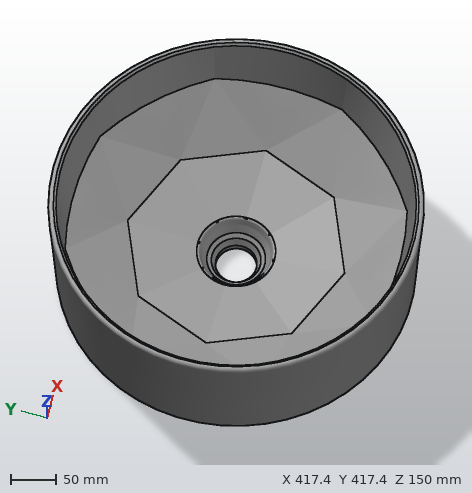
import cadquery as cq
import math

height = 150.0
rim_radius = 208.7
base_radius = 200.0
rim_round = 3.8
base_round = 3.0
wall_taper = (rim_radius - base_radius) / (height - rim_round)

facet_count = 8
facet_angle = 360 / facet_count
mouth_radius = 200.5
lip_bevel = 2.5
corner_radius = 191.0
lobe_radius = 185.8
corner_height = 88.5
star_radius = 125.0
star_height = 49.0
drain_radius = 44.0
drain_height = 37.5
floor_slope = (star_height - drain_height) / (star_radius - drain_radius)
apex_height = star_height - star_radius * floor_slope

drain_lip = (40.5, 35.5)
drain_throat = (38.0, 29.2)
drain_seat = (32.5, 20.0)
drain_step = (27.5, 16.3)
drain_bore = (23.0, 8.0)
lip_curve = (41.7, 37.0)


def polar(radius, turns, z):
    """Point at a number of facet steps around the axis."""
    angle = math.radians(turns * facet_angle)
    return cq.Vector(radius * math.cos(angle), radius * math.sin(angle), z)


def arc(radius, middle_radius, turns, z):
    """Level arc spanning one facet step, centred on the given step."""
    return cq.Edge.makeThreePointArc(
        polar(radius, turns - 0.5, z),
        polar(middle_radius, turns, z),
        polar(radius, turns + 0.5, z),
    )


def triangle(*corners):
    return cq.Face.makeFromWires(cq.Wire.makePolygon(corners, close=True))


def make_body():
    top_radius = base_radius + wall_taper * height
    cone = cq.Workplane("XY").circle(base_radius).workplane(offset=height).circle(top_radius)
    body = cone.loft(ruled=True)
    return body.faces("<Z").edges().fillet(base_round)


def make_bowl():
    """Closed solid filling the bowl from the floor apex to the rim."""
    apex = cq.Vector(0, 0, apex_height)
    faces = []
    mouth_arcs = []
    for step in range(facet_count):
        star = polar(star_radius, step, star_height)
        next_star = polar(star_radius, step + 1, star_height)
        corner = polar(corner_radius, step - 0.5, corner_height)
        next_corner = polar(corner_radius, step + 0.5, corner_height)
        wall_foot = arc(corner_radius, lobe_radius, step, corner_height)
        mouth_arc = arc(mouth_radius, mouth_radius, step, height)
        mouth_arcs.append(mouth_arc)

        faces.append(triangle(apex, star, next_star))
        faces.append(triangle(star, next_star, next_corner))
        sides = [cq.Edge.makeLine(star, corner), wall_foot, cq.Edge.makeLine(next_corner, star)]
        faces.append(cq.Face.makeNSidedSurface(sides, []))
        faces.append(cq.Face.makeRuledSurface(wall_foot, mouth_arc))
    faces.append(cq.Face.makeFromWires(cq.Wire.assembleEdges(mouth_arcs)))
    return cq.Solid.makeSolid(cq.Shell.makeShell(faces))


def make_drain():
    """Stepped passage with a rounded lip, revolved about the axis."""
    return (
        cq.Workplane("XZ")
        .moveTo(0, star_height)
        .lineTo(drain_radius, star_height)
        .lineTo(drain_radius, drain_height)
        .threePointArc(lip_curve, drain_lip)
        .lineTo(*drain_throat)
        .lineTo(*drain_seat)
        .lineTo(*drain_step)
        .lineTo(*drain_bore)
        .lineTo(drain_bore[0], 0)
        .lineTo(0, 0)
        .close()
        .revolve(360, (0, 0, 0), (0, 1, 0))
    )


basin = make_body().cut(cq.Workplane(make_bowl()))
basin = basin.faces(">Z").edges(cq.selectors.RadiusNthSelector(-1)).fillet(rim_round)
basin = basin.faces(">Z").edges(cq.selectors.RadiusNthSelector(0)).chamfer(lip_bevel)
result = basin.cut(make_drain())